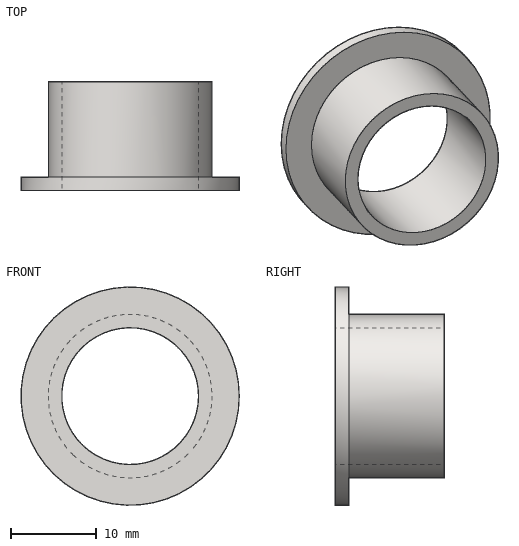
import cadquery as cq

INCH = 25.4
flange_diameter = 1.0 * INCH
body_diameter = 3 / 4 * INCH
bore_diameter = 5 / 8 * INCH
overall_length = 1 / 2 * INCH
flange_thickness = 1 / 16 * INCH


def cylinder_along_y(diameter, length):
    """Solid cylinder from Y = 0 toward +Y, centred on the Y axis."""
    return cq.Workplane("XZ").circle(diameter / 2).extrude(-length)


flange = cylinder_along_y(flange_diameter, flange_thickness)
body = cylinder_along_y(body_diameter, overall_length)
bore = cylinder_along_y(bore_diameter, overall_length)

result = flange.union(body).cut(bore)